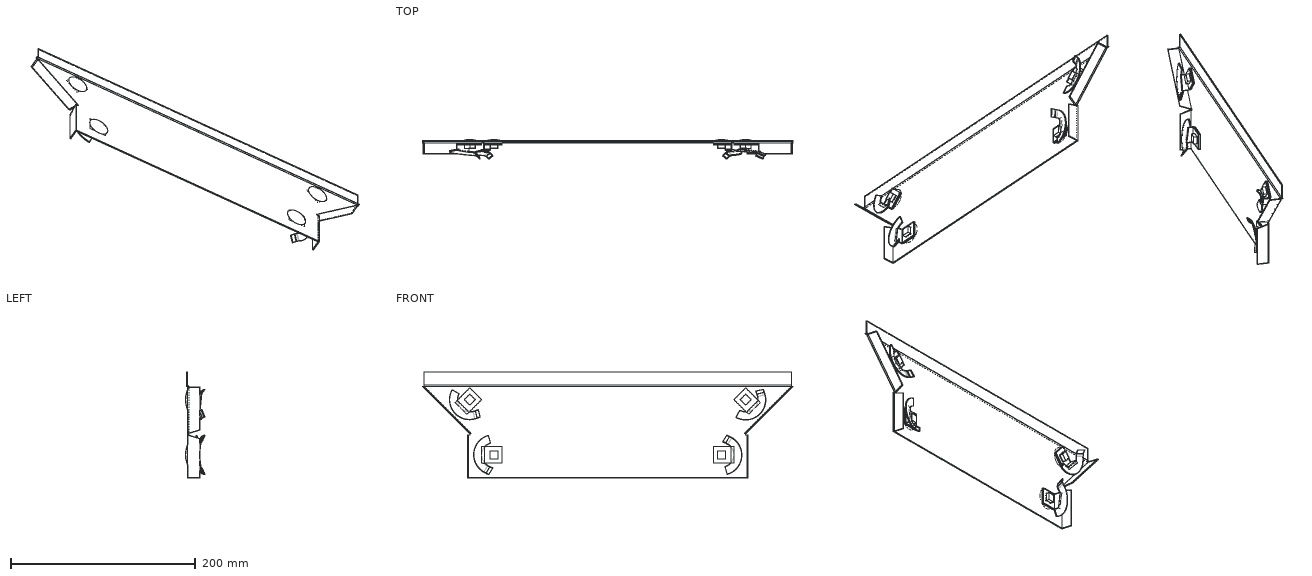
import cadquery as cq
import math

sheet = 1.2
panel_height = 115.2
half_width_top = 201.5
half_width_bottom = 152.3
shoulder_height = 99.5
step_height = 1.2
sloped_flange_top = 98.5
flange_depth = 12.0
notch_half_width = 150.0
notch_bottom = 46.7
flange_end_taper = 4.0
through_all = 4.0

notch_top = shoulder_height - (half_width_top - notch_half_width)
sloped_flange_run = sheet * math.sqrt(2)
strip_half_width = half_width_top - sloped_flange_run

head_radius = 11.3
head_height = 2.5
shank_side = 8.5
collar_thickness = 1.2
shank_reach = 6.0

strip = 1.2
base_half_side = 9.05
plate_reach = 10.27
arm_inner_radius = 13.3
arm_outer_radius = 21.8
arm_inner_height = 9.3
arm_cone_rise = 2.5
arm_tilt = 7.0
arm_tail_angle = 74.0
arm_tab_angle = 60.0
tab_legs = [(3.0, 15.0), (4.5, 37.0)]

clip_places = [(123.5, 25.0, 0.0), (150.0, 85.0, 45.0)]


def mount_planes():
    """Planes on the panel front: x points outward to the arm, z points away from the panel."""
    planes = []
    for side in (-1, 1):
        for offset, height, turn in clip_places:
            angle = math.radians(turn)
            outward = (side * math.cos(angle), 0, -math.sin(angle))
            planes.append(cq.Plane((side * offset, 0, height), outward, (0, -1, 0)))
    return planes


def flange(front_outline, side_outline):
    """Prism of the XZ outline, trimmed to the YZ outline."""
    prism = cq.Workplane("XZ").polyline(front_outline).close().extrude(half_width_top, both=True)
    trim = cq.Workplane("YZ").polyline(side_outline).close().extrude(half_width_top)
    return prism.intersect(trim)


def make_sheet():
    side_outline = [
        (0, 0), (0, shoulder_height), (sheet, shoulder_height + step_height), (sheet, panel_height),
        (2 * sheet, panel_height), (2 * sheet, shoulder_height), (sheet, shoulder_height - step_height),
        (sheet, 0),
    ]
    right_edge = [
        (half_width_bottom, 0), (half_width_bottom, notch_bottom), (notch_half_width, notch_bottom),
        (notch_half_width, notch_top), (half_width_top, shoulder_height),
        (strip_half_width, shoulder_height), (strip_half_width, panel_height),
    ]
    left_edge = [(-x, z) for x, z in reversed(right_edge)]
    profile = cq.Workplane("YZ").polyline(side_outline).close().extrude(half_width_top, both=True)
    outline = cq.Workplane("XZ").polyline(right_edge + left_edge).close().extrude(through_all, both=True)
    return profile.intersect(outline)


def make_panel():
    lower_flange = flange(
        [(half_width_bottom - sheet, 0), (half_width_bottom, 0),
         (half_width_bottom, notch_bottom), (half_width_bottom - sheet, notch_bottom)],
        [(sheet, 0), (-flange_depth, 0),
         (-flange_depth, notch_bottom - flange_end_taper), (sheet, notch_bottom)],
    )
    sloped_flange = flange(
        [(notch_half_width - sloped_flange_run, notch_top), (notch_half_width, notch_top),
         (half_width_top, shoulder_height), (strip_half_width, shoulder_height)],
        [(sheet, notch_top), (-flange_depth, notch_top + flange_end_taper),
         (-flange_depth, sloped_flange_top), (sheet, sloped_flange_top)],
    )
    flanges = lower_flange.union(sloped_flange)
    panel = make_sheet().union(flanges).union(flanges.mirror("YZ"))
    for plane in mount_planes():
        panel = panel.cut(cq.Workplane(plane).rect(shank_side, shank_side).extrude(through_all, both=True))
    return panel


def square_plate(bottom, thickness):
    """Plate around the shank that reaches outward to the inner face of the web."""
    length = base_half_side + plate_reach
    plate = cq.Workplane("XY").box(length, 2 * base_half_side, thickness, centered=(False, True, False))
    return plate.translate((-base_half_side, 0, bottom))


def dome_midpoint():
    """Point of the spherical head profile at half the head radius."""
    sphere_radius = (head_radius**2 + head_height**2) / (2 * head_height)
    x = head_radius / 2
    drop = sphere_radius - math.sqrt(sphere_radius**2 - x**2)
    return (x, -sheet - head_height + drop)


def make_stud(plane):
    head = (
        cq.Workplane("XZ").moveTo(0, -sheet).lineTo(head_radius, -sheet)
        .threePointArc(dome_midpoint(), (0, -sheet - head_height)).close()
        .revolve(360, (0, 0), (0, 1))
    )
    shank = (
        cq.Workplane("XY").workplane(offset=-sheet)
        .rect(shank_side, shank_side).extrude(sheet + shank_reach)
    )
    collar = square_plate(0, collar_thickness)
    return head.union(shank).union(collar).val().moved(cq.Location(plane))


def make_arm():
    cone_angle = math.atan2(arm_cone_rise, arm_outer_radius - arm_inner_radius)
    back_shift = strip * math.sin(cone_angle)
    back_drop = strip * math.cos(cone_angle)
    arm_outer_height = arm_inner_height + arm_cone_rise
    section = [
        (arm_inner_radius, arm_inner_height),
        (arm_outer_radius, arm_outer_height),
        (arm_outer_radius + back_shift, arm_outer_height - back_drop),
        (arm_inner_radius + back_shift, arm_inner_height - back_drop),
    ]
    sketch = cq.Workplane("XZ").polyline(section).close()
    arm = sketch.revolve(arm_tail_angle + arm_tab_angle, (0, 0), (0, -1))
    tab_wire = cq.Workplane("XZ").polyline(section).close().val()
    for length, bend in tab_legs:
        angle = math.radians(bend)
        step = cq.Vector(0, math.cos(angle), math.sin(angle)) * length
        arm = arm.union(cq.Workplane(cq.Solid.extrudeLinear(tab_wire, [], step)))
        tab_wire = tab_wire.moved(cq.Location(step))
    arm = arm.rotate((0, 0, 0), (0, 0, 1), arm_tab_angle)
    ledge_length = arm_inner_radius - plate_reach + back_shift
    ledge = cq.Workplane("XY").box(ledge_length, 2 * base_half_side, strip, centered=(False, True, False))
    arm = arm.union(ledge.translate((plate_reach, 0, arm_inner_height - strip)))
    return arm.rotate((0, 0, arm_inner_height), (1, 0, arm_inner_height), arm_tilt)


def make_clip(plane):
    base = square_plate(collar_thickness, strip)
    base = base.cut(cq.Workplane("XY").rect(shank_side, shank_side).extrude(shank_reach))
    web_height = arm_inner_height - strip / 2
    web_slope = base_half_side * math.tan(math.radians(arm_tilt))
    web = (
        cq.Workplane("YZ").workplane(offset=plate_reach)
        .polyline([(-base_half_side, collar_thickness), (base_half_side, collar_thickness),
                   (base_half_side, web_height + web_slope), (-base_half_side, web_height - web_slope)])
        .close().extrude(strip)
    )
    return base.union(web).union(make_arm()).val().moved(cq.Location(plane))


panel = make_panel()
studs = [make_stud(plane) for plane in mount_planes()]
clips = [make_clip(plane) for plane in mount_planes()]

result = cq.Compound.makeCompound([panel.val(), *studs, *clips])